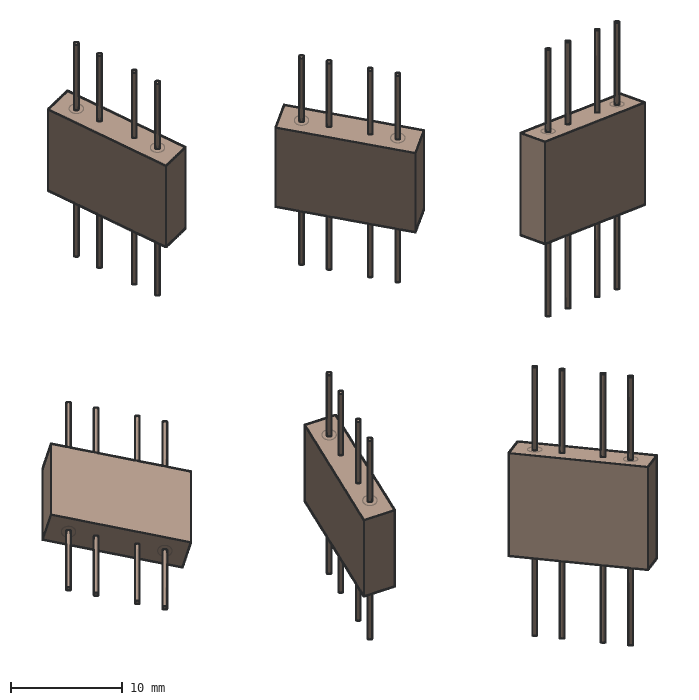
import cadquery as cq

body_length = 12.95
body_width = 3.05
body_height = 9.9

lead_span = 25.75
lead_diameter = 0.45
inner_spacing = 3.8
lead_pitch = 2.55
lead_y = 0.03

sleeve_diameter = 1.3

inner_x = inner_spacing / 2
outer_x = inner_x + lead_pitch
outer_positions = [(-outer_x, lead_y), (outer_x, lead_y)]
inner_positions = [(-inner_x, lead_y), (inner_x, lead_y)]


def upright_cylinders(positions, diameter, height):
    """Vertical cylinders at the given XY positions, centred on Z = 0."""
    return (
        cq.Workplane("XY")
        .pushPoints(positions)
        .circle(diameter / 2)
        .extrude(height / 2, both=True)
    )


body = cq.Workplane("XY").box(body_length, body_width, body_height)
sleeves = upright_cylinders(outer_positions, sleeve_diameter, body_height)
leads = upright_cylinders(outer_positions + inner_positions, lead_diameter, lead_span)

joined = body.cut(sleeves).union(sleeves, clean=False).union(leads, clean=False)
result = cq.Workplane(joined.solids().val())